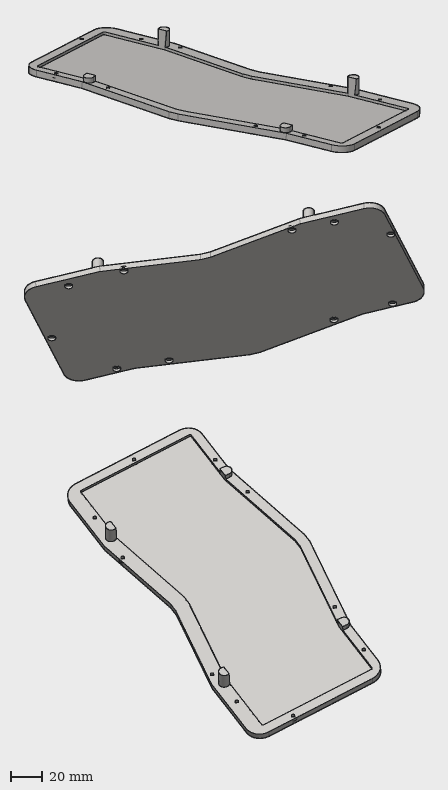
import cadquery as cq
import math

TILT = 5.0
BEND = math.tan(math.radians(10.0))
HALF_WIDTH = 121.9
THICKNESS = 4.6
BACK_Y = 56.0
BACK_KNEE_X = 67.8
FRONT_Y = -43.0
FRONT_KNEE_X = 77.0
CORNER_RADIUS = 10.7
MIDDLE_FLAT = 6.8

POCKET_DEPTH = 2.0
SIDE_RIM = 6.8
BACK_RIM = 10.0
FRONT_RIM = 6.3
POCKET_HALF_WIDTH = HALF_WIDTH - SIDE_RIM
POCKET_BACK_Y = BACK_Y - BACK_RIM
POCKET_BACK_KNEE_X = 69.0
POCKET_FRONT_Y = FRONT_Y + FRONT_RIM
POCKET_FRONT_KNEE_X = 72.0
POCKET_CORNER_RADIUS = 1.0

HOLE_DIAMETER = 2.2
COUNTERBORE_DIAMETER = 5.0
COUNTERBORE_DEPTH = 2.2
HOLES = [
    (-89.0, 49.7), (-61.0, 51.7), (-119.2, 25.5), (-98.5, -39.7), (-58.0, -42.0),
    (53.1, 51.0), (91.2, 49.2), (117.7, 4.1), (88.2, -39.2), (54.0, -43.1),
]

POST_TOP = 7.0
POST_ROOT = 2.5
CLEARANCE_HEIGHT = 24.4
BACK_POST = (71.5, 48.5)
BACK_POST_RADIUS = 3.7
FRONT_POST = (74.0, -39.2)
FRONT_POST_RADIUS = 3.5


def tilted(body):
    """Turn a body built flat into the tilted plane of the plate."""
    return body.rotate((0, 0, 0), (1, 0, 0), -TILT)


def chevron(half_width, back_y, back_knee_x, front_y, front_knee_x, corner_radius, height):
    """Prism of a rectangle whose long sides bend towards the front at the middle."""
    middle_x = MIDDLE_FLAT / 2
    right_side = [
        (middle_x, front_y - (front_knee_x - middle_x) * BEND),
        (front_knee_x, front_y),
        (half_width, front_y),
        (half_width, back_y),
        (back_knee_x, back_y),
        (middle_x, back_y - (back_knee_x - middle_x) * BEND),
    ]
    left_side = [(-x, y) for x, y in reversed(right_side)]
    body = cq.Workplane("XY").polyline(right_side + left_side).close().extrude(height)
    for end_face in ("<X", ">X"):
        body = body.faces(end_face).edges("|Z").fillet(corner_radius)
    return body


def pocket(height):
    """Prism of the pocket outline, standing on the pocket floor of the flat plate."""
    return chevron(
        POCKET_HALF_WIDTH, POCKET_BACK_Y, POCKET_BACK_KNEE_X,
        POCKET_FRONT_Y, POCKET_FRONT_KNEE_X, POCKET_CORNER_RADIUS, height,
    ).translate((0, 0, -POCKET_DEPTH))


def plate():
    """Flat tray with its top face at Z = 0."""
    body = chevron(
        HALF_WIDTH, BACK_Y, BACK_KNEE_X, FRONT_Y, FRONT_KNEE_X, CORNER_RADIUS, THICKNESS,
    ).translate((0, 0, -THICKNESS))
    body = body.cut(pocket(POCKET_DEPTH))
    underside = cq.Workplane("XY", origin=(0, 0, -THICKNESS)).pushPoints(HOLES)
    holes = underside.circle(HOLE_DIAMETER / 2).extrude(THICKNESS)
    counterbores = underside.circle(COUNTERBORE_DIAMETER / 2).extrude(COUNTERBORE_DEPTH)
    return body.cut(holes).cut(counterbores)


def post_root(y):
    """Level of the lower end of a post standing at depth y, inside the plate."""
    return -y * math.tan(math.radians(TILT)) - POST_ROOT


def round_post(x, y, radius):
    """Vertical cylinder rooted in the plate at world position (x, y)."""
    root = post_root(y)
    return cq.Workplane("XY", origin=(x, y, root)).circle(radius).extrude(POST_TOP - root)


def straight_sided_post(x, y, radius):
    """Vertical post, round towards the front and straight-sided towards the pocket."""
    root = post_root(y)
    flanks = cq.Workplane("XY", origin=(x, y + radius, root)).rect(2 * radius, 2 * radius)
    return round_post(x, y, radius).union(flanks.extrude(POST_TOP - root))


pocket_space = tilted(pocket(CLEARANCE_HEIGHT))

result = tilted(plate())
for side in (-1, 1):
    back_post = round_post(side * BACK_POST[0], BACK_POST[1], BACK_POST_RADIUS)
    front_post = straight_sided_post(side * FRONT_POST[0], FRONT_POST[1], FRONT_POST_RADIUS)
    for post in (back_post, front_post):
        result = result.union(post.cut(pocket_space))